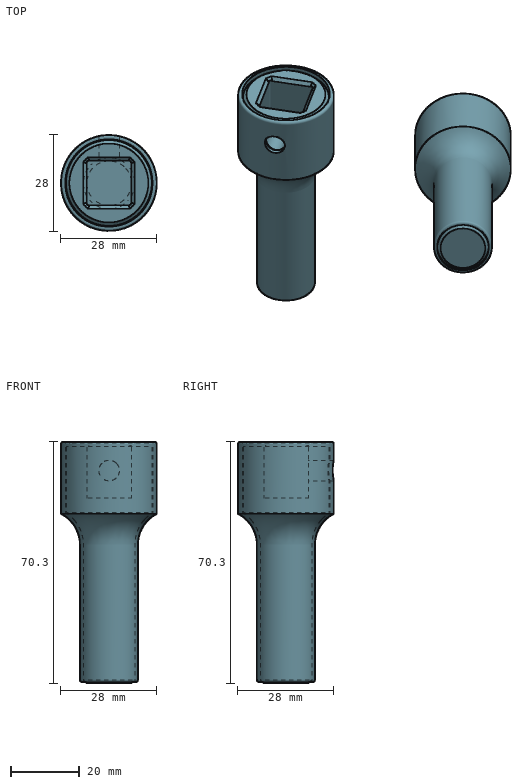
import cadquery as cq
import math


core_length = 70.0
sleeve_offset = 0.3
sleeve_bottom = sleeve_offset
sleeve_top = core_length + sleeve_offset
flare_start = 40.4
shoulder = 49.3

sleeve_head_radius = 14.0
sleeve_shank_radius = 8.5
sleeve_flare_radius = 10.0
sleeve_edge_fillet = 0.7
core_head_radius = 12.5
core_shank_radius = 7.5
core_end_chamfer = 1.0
head_clearance = 0.25
flare_centre_radius = sleeve_shank_radius + sleeve_flare_radius

drive_width = 13.0
drive_depth = 16.0
drive_corner_fillet = 0.7
drive_lead_in = 1.0
mouth_corner_cut = 1.4
detent_radius = 3.0
detent_depth = 8.0


def flared_body(head_radius, shank_radius, bottom, top, head_start=None):
    """Solid of revolution: a shank that flares through a concave arc into a wider head.

    The arc ends at height head_start, leaving a flat shoulder, or runs out on the side
    of the head when head_start is not given.
    """
    flare_radius = flare_centre_radius - shank_radius
    if head_start is None:
        end_angle = math.acos((flare_centre_radius - head_radius) / flare_radius)
    else:
        end_angle = math.asin((head_start - flare_start) / flare_radius)

    def flare_point(angle):
        return (
            flare_centre_radius - flare_radius * math.cos(angle),
            flare_start + flare_radius * math.sin(angle),
        )

    outline = (
        cq.Workplane("XZ")
        .moveTo(0, bottom)
        .lineTo(shank_radius, bottom)
        .lineTo(shank_radius, flare_start)
        .threePointArc(flare_point(end_angle / 2), flare_point(end_angle))
    )
    if head_start is not None:
        outline = outline.lineTo(head_radius, head_start)
    outline = outline.lineTo(head_radius, top).lineTo(0, top).close()
    return outline.revolve(360, (0, 0, 0), (0, 1, 0))


def drive_recess():
    """Square recess with rounded corners, sunk from the core's top face."""
    return (
        cq.Workplane("XY", origin=(0, 0, core_length - drive_depth))
        .rect(drive_width, drive_width)
        .extrude(drive_depth)
        .edges("|Z")
        .fillet(drive_corner_fillet)
    )


def drive_lead_in_taper():
    """45-degree taper that opens the mouth of the drive recess."""
    mouth_width = drive_width + 2 * drive_lead_in
    return (
        cq.Workplane("XY", origin=(0, 0, core_length))
        .sketch()
        .rect(mouth_width, mouth_width)
        .vertices()
        .chamfer(mouth_corner_cut)
        .finalize()
        .extrude(-drive_lead_in, taper=45)
    )


def detent_hole():
    """Radial hole from the drive recess out through the +Y side."""
    return (
        cq.Workplane("XZ", origin=(0, 0, core_length - detent_depth))
        .circle(detent_radius)
        .extrude(-sleeve_head_radius)
    )


def make_core():
    core = flared_body(core_head_radius, core_shank_radius, 0, core_length)
    core = core.faces("<Z or >Z").chamfer(core_end_chamfer)
    core = core.cut(drive_recess()).cut(drive_lead_in_taper())
    return core.cut(detent_hole())


def make_sleeve():
    sleeve = flared_body(sleeve_head_radius, sleeve_shank_radius, sleeve_bottom, sleeve_top, shoulder)
    sleeve = sleeve.faces("<Z or >Z").edges().fillet(sleeve_edge_fillet)
    bore = flared_body(
        core_head_radius + head_clearance, core_shank_radius, sleeve_bottom, sleeve_top
    )
    return sleeve.cut(bore).cut(detent_hole())


core = make_core()
sleeve = make_sleeve()
result = cq.Compound.makeCompound([core.val(), sleeve.val()])